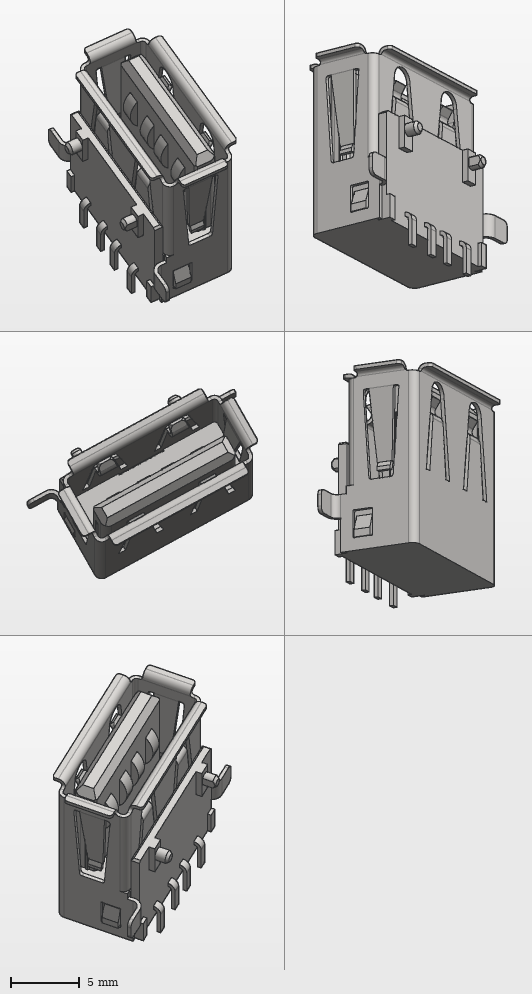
import cadquery as cq
import math


DIAGONAL = math.sqrt(0.5)

SHEET = 0.3
SHELL_WIDTH = 13.08
SHELL_DEPTH = 5.7
SHELL_TOP = 13.1
CORNER_RADIUS = 0.59
HALF_WIDTH = SHELL_WIDTH / 2
HALF_DEPTH = SHELL_DEPTH / 2
INNER_HALF_WIDTH = HALF_WIDTH - SHEET
INNER_HALF_DEPTH = HALF_DEPTH - SHEET
FRONT_WALL_BOTTOM = 4.99
PART_TOP = 13.75

LIP_REACH = 0.78
LIP_TIP_RADIUS = 0.26
LIP_FLARE = 0.28
LONG_LIP_LENGTH = 11.22
SHORT_LIP_LENGTH = 3.83

TAB_TOP = 4.4
TAB_BOTTOM = 2.6
TAB_TIP_X = 8.63
TAB_TIP_RADIUS = 0.45
TAB_BEND_INNER = 0.52
TAB_BEND_OUTER = TAB_BEND_INNER + SHEET
SIDE_WALL_FRONT_Y = -3.3

SPRING_X = 2.99
SLOT_TOP = 13.01
SLOT_RADIUS = 0.98
SLOT_BOTTOM = 5.97
SLOT_BOTTOM_HALF = 1.86
SPRING_BOTTOM_HALF = 1.31
SPRING_TOP_HALF = 0.59
SPRING_TIP_CORNER = 0.41
SPRING_BEND_Z = 10.1
SPRING_TIP_Z = 11.98
RAMP_ANGLE = math.radians(68)
TIP_ANGLE = math.radians(38)
RAMP_RADIUS = 0.55
APEX_RADIUS = 0.41
SPRING_TIP_LENGTH = 0.67

WINDOW_TOP = 12.13
WINDOW_BOTTOM = 5.23
WINDOW_TOP_HALF = 1.47
WINDOW_BOTTOM_HALF = 0.98
WINDOW_RADIUS = 0.2
SIDE_SPRING_TOP_HALF = 1.0
SIDE_SPRING_APEX_HALF = 0.6
SIDE_SPRING_TIP_HALF = 0.54
SIDE_SPRING_APEX_Z = 6.61
SIDE_SPRING_TIP_Z = 5.95
SIDE_SPRING_SHIFT = 0.59
SIDE_SPRING_LIP = 0.17

LATCH_Y = -1.5
LATCH_WIDTH = 1.3
LATCH_BOTTOM = 0.98
LATCH_RAMP_BOTTOM = 1.57
LATCH_TOP = 2.68
LATCH_TIP_X = 6.65
LATCH_HOLE_WIDTH = 1.59
LATCH_HOLE_TOP = 3.09
LATCH_HOLE_RADIUS = 0.1

PLATE_HALF_WIDTH = 6.18
PLATE_BACK_Y = -2.95
PLATE_FRONT_Y = -3.66
PLATE_TOP = 8.47
PLATE_CHAMFER = 0.17
FOOT_WIDTH = 0.64
FOOT_HEIGHT = 1.85
FOOT_FRONT_Y = -3.95

GROOVE_WIDTH = 0.1
GROOVE_HALF_LENGTH = 1.85
GROOVE_DEPTH = 0.35

PIN_X = 4.05
PIN_Z = 7.47
PIN_RADIUS = 0.5
PIN_TIP_Y = -5.16
PIN_TIP_LENGTH = 0.22
PIN_TIP_RADIUS = 0.31
NARROW_PIN_WIDTH = 0.72
PAD_WIDTH = 1.0
PAD_BOTTOM = 5.97
PAD_FRONT_Y = -4.13

TONGUE_HALF_WIDTH = 5.55
TONGUE_FRONT_Y = 0.12
TONGUE_BACK_Y = 1.98
TONGUE_TOP = 13.32
TONGUE_BEVEL_HEIGHT = 0.67
TONGUE_BEVEL = 0.54
TONGUE_FRONT_BEVEL = 0.45
TONGUE_FRONT_CHAMFER = 0.17
TONGUE_BACK_RADIUS = 0.59
RIB_Y = 0.83
RIB_TOP = 10.35
RIB_BASE_WIDTH = 0.35
RIB_CREST_WIDTH = 0.1
RIB_HEIGHT = 0.09
CONTACT_X = (-3.49, -1.0, 1.0, 3.49)
CONTACT_WIDTH = 1.04
CONTACT_TOP = 10.96
CONTACT_APEX_Z = 9.55
CONTACT_APEX_Y = -0.47

LEG_WIDTH = 0.62
LEG_SHEET = 0.31
LEG_TOP = 1.23
LEG_BOTTOM = -1.4
LEG_FRONT_Y = -4.25
LEG_BEND_OUTER = 0.64
LEG_BEND_INNER = LEG_BEND_OUTER - LEG_SHEET


def box(x_min, x_max, y_min, y_max, z_min, z_max):
    size = (x_max - x_min, y_max - y_min, z_max - z_min)
    return cq.Workplane("XY").box(*size, centered=False).translate((x_min, y_min, z_min))


def with_mirror(body, plane):
    return body.union(body.mirror(plane))


def on_circle(center, radius, angle):
    return (center[0] + radius * math.cos(angle), center[1] + radius * math.sin(angle))


def along_y(sketch):
    """Extrude an XZ outline right through the part in Y."""
    return sketch.extrude(SHELL_DEPTH * 2, both=True)


def along_x(outline):
    """Extrude a YZ outline right through the part in X."""
    return outline.extrude(SHELL_WIDTH, both=True)


def lip(wall_offset, length):
    """Lip over the wall at Y = +wall_offset: bends outward, with flared ends and rounded tips."""
    inner_y = wall_offset - SHEET
    bend = 2 * SHEET
    bend_z = PART_TOP - bend
    tip_y = wall_offset + LIP_REACH
    half = length / 2
    center_y = inner_y + bend
    profile = (
        cq.Workplane("YZ")
        .moveTo(inner_y, SHELL_TOP - SHEET)
        .lineTo(inner_y, bend_z)
        .threePointArc((center_y - bend * DIAGONAL, bend_z + bend * DIAGONAL), (center_y, PART_TOP))
        .lineTo(tip_y, PART_TOP)
        .lineTo(tip_y, PART_TOP - SHEET)
        .lineTo(center_y, PART_TOP - SHEET)
        .threePointArc((center_y - SHEET * DIAGONAL, bend_z + SHEET * DIAGONAL), (wall_offset, bend_z))
        .lineTo(wall_offset, SHELL_TOP - SHEET)
        .close()
        .extrude(half + LIP_FLARE, both=True)
    )
    flare_top = SHELL_TOP + LIP_FLARE
    flare_dip = LIP_FLARE * (1 - DIAGONAL)
    outline = along_y(
        cq.Workplane("XZ")
        .moveTo(-half - LIP_FLARE, SHELL_TOP - SHEET)
        .lineTo(half + LIP_FLARE, SHELL_TOP - SHEET)
        .lineTo(half + LIP_FLARE, SHELL_TOP)
        .threePointArc((half + flare_dip, SHELL_TOP + flare_dip), (half, flare_top))
        .lineTo(half, PART_TOP)
        .lineTo(-half, PART_TOP)
        .lineTo(-half, flare_top)
        .threePointArc((-half - flare_dip, SHELL_TOP + flare_dip), (-half - LIP_FLARE, SHELL_TOP))
        .close()
    )
    return profile.intersect(outline).edges("|Z and >Y").fillet(LIP_TIP_RADIUS)


def slot_cutter():
    """Tapered slot with a round top, through both long walls."""
    arc_z = SLOT_TOP - SLOT_RADIUS
    return along_y(
        cq.Workplane("XZ")
        .moveTo(-SLOT_BOTTOM_HALF, SLOT_BOTTOM)
        .lineTo(SLOT_BOTTOM_HALF, SLOT_BOTTOM)
        .lineTo(SLOT_RADIUS, arc_z)
        .threePointArc((0, SLOT_TOP), (-SLOT_RADIUS, arc_z))
        .close()
    )


def long_wall_spring():
    """Spring of the front wall, bent inward to its contact point and back out at the tip."""
    wall_y = -HALF_DEPTH
    ramp_center = (wall_y + RAMP_RADIUS, SPRING_BEND_Z)
    apex_center = on_circle(ramp_center, RAMP_RADIUS + APEX_RADIUS, math.pi - RAMP_ANGLE)

    def ramp_point(offset, angle):
        return on_circle(ramp_center, RAMP_RADIUS - offset, math.pi - angle)

    def apex_point(offset, angle):
        return on_circle(apex_center, APEX_RADIUS + offset, angle)

    def tip_point(offset):
        return on_circle(apex_point(offset, TIP_ANGLE), SPRING_TIP_LENGTH, math.pi / 2 + TIP_ANGLE)

    profile = (
        cq.Workplane("YZ")
        .moveTo(wall_y, SLOT_BOTTOM)
        .lineTo(wall_y, SPRING_BEND_Z)
        .threePointArc(ramp_point(0, RAMP_ANGLE / 2), ramp_point(0, RAMP_ANGLE))
        .threePointArc(apex_point(0, 0), apex_point(0, TIP_ANGLE))
        .lineTo(*tip_point(0))
        .lineTo(*tip_point(SHEET))
        .lineTo(*apex_point(SHEET, TIP_ANGLE))
        .threePointArc(apex_point(SHEET, 0), apex_point(SHEET, -RAMP_ANGLE))
        .threePointArc(ramp_point(SHEET, RAMP_ANGLE / 2), ramp_point(SHEET, 0))
        .lineTo(wall_y + SHEET, SLOT_BOTTOM)
        .close()
        .extrude(SPRING_BOTTOM_HALF, both=True)
    )
    outline = along_y(
        cq.Workplane("XZ")
        .moveTo(-SPRING_BOTTOM_HALF, SLOT_BOTTOM)
        .lineTo(SPRING_BOTTOM_HALF, SLOT_BOTTOM)
        .lineTo(SPRING_TOP_HALF, SPRING_TIP_Z)
        .lineTo(-SPRING_TOP_HALF, SPRING_TIP_Z)
        .close()
    ).edges("|Y and >Z").fillet(SPRING_TIP_CORNER)
    return profile.intersect(outline)


def window_cutter():
    return along_x(
        cq.Workplane("YZ")
        .moveTo(-WINDOW_BOTTOM_HALF, WINDOW_BOTTOM)
        .lineTo(WINDOW_BOTTOM_HALF, WINDOW_BOTTOM)
        .lineTo(WINDOW_TOP_HALF, WINDOW_TOP)
        .lineTo(-WINDOW_TOP_HALF, WINDOW_TOP)
        .close()
    ).edges("|X").fillet(WINDOW_RADIUS)


def side_spring():
    """Spring of the +X wall, hanging from the window's top edge and leaning inward."""
    lean = INNER_HALF_WIDTH - SIDE_SPRING_SHIFT
    profile = (
        cq.Workplane("XZ")
        .moveTo(INNER_HALF_WIDTH, WINDOW_TOP)
        .lineTo(HALF_WIDTH, WINDOW_TOP)
        .lineTo(lean + SHEET, SIDE_SPRING_APEX_Z)
        .lineTo(lean + SHEET + SIDE_SPRING_LIP, SIDE_SPRING_TIP_Z + SHEET)
        .lineTo(lean + SHEET + SIDE_SPRING_LIP, SIDE_SPRING_TIP_Z)
        .lineTo(lean + SIDE_SPRING_LIP, SIDE_SPRING_TIP_Z)
        .lineTo(lean, SIDE_SPRING_APEX_Z)
        .close()
        .extrude(SIDE_SPRING_TOP_HALF, both=True)
    )
    outline = along_x(
        cq.Workplane("YZ")
        .moveTo(-SIDE_SPRING_TOP_HALF, WINDOW_TOP)
        .lineTo(-SIDE_SPRING_APEX_HALF, SIDE_SPRING_APEX_Z)
        .lineTo(-SIDE_SPRING_TIP_HALF, SIDE_SPRING_APEX_Z)
        .lineTo(-SIDE_SPRING_TIP_HALF, SIDE_SPRING_TIP_Z)
        .lineTo(SIDE_SPRING_TIP_HALF, SIDE_SPRING_TIP_Z)
        .lineTo(SIDE_SPRING_TIP_HALF, SIDE_SPRING_APEX_Z)
        .lineTo(SIDE_SPRING_APEX_HALF, SIDE_SPRING_APEX_Z)
        .lineTo(SIDE_SPRING_TOP_HALF, WINDOW_TOP)
        .close()
    )
    return profile.intersect(outline)


def solder_tab():
    """Tab of the +X side wall, bent outward to lie parallel to the board."""
    bend_x = HALF_WIDTH + TAB_BEND_INNER
    back_y = SIDE_WALL_FRONT_Y - TAB_BEND_INNER
    front_y = SIDE_WALL_FRONT_Y - TAB_BEND_OUTER
    inner_mid = TAB_BEND_INNER * DIAGONAL
    outer_mid = TAB_BEND_OUTER * DIAGONAL
    return (
        cq.Workplane("XY", origin=(0, 0, TAB_BOTTOM))
        .moveTo(HALF_WIDTH, SIDE_WALL_FRONT_Y)
        .threePointArc((bend_x - inner_mid, SIDE_WALL_FRONT_Y - inner_mid), (bend_x, back_y))
        .lineTo(TAB_TIP_X, back_y)
        .lineTo(TAB_TIP_X, front_y)
        .lineTo(bend_x, front_y)
        .threePointArc((bend_x - outer_mid, SIDE_WALL_FRONT_Y - outer_mid),
                       (INNER_HALF_WIDTH, SIDE_WALL_FRONT_Y))
        .close()
        .extrude(TAB_TOP - TAB_BOTTOM)
        .edges("|Y and >X").fillet(TAB_TIP_RADIUS)
    )


def latch_hole_cutter():
    half = LATCH_HOLE_WIDTH / 2
    hole = box(-SHELL_WIDTH, SHELL_WIDTH, LATCH_Y - half, LATCH_Y + half, LATCH_BOTTOM, LATCH_HOLE_TOP)
    return hole.edges("|X").fillet(LATCH_HOLE_RADIUS)


def shell():
    tube = (
        cq.Workplane("XY").rect(SHELL_WIDTH, SHELL_DEPTH).extrude(SHELL_TOP)
        .edges("|Z").fillet(CORNER_RADIUS)
    )
    bore = (
        cq.Workplane("XY").rect(2 * INNER_HALF_WIDTH, 2 * INNER_HALF_DEPTH).extrude(SHELL_TOP)
        .edges("|Z").fillet(CORNER_RADIUS - SHEET)
    )
    corner_y = CORNER_RADIUS - HALF_DEPTH
    front_opening = box(-HALF_WIDTH, HALF_WIDTH, -HALF_DEPTH, corner_y, 0, FRONT_WALL_BOTTOM)
    body = tube.cut(bore).cut(front_opening)

    upper_wing = box(INNER_HALF_WIDTH, HALF_WIDTH, -HALF_DEPTH, corner_y, TAB_TOP, FRONT_WALL_BOTTOM)
    lower_wing = box(INNER_HALF_WIDTH, HALF_WIDTH, SIDE_WALL_FRONT_Y, corner_y, 0, TAB_TOP)
    body = body.union(with_mirror(upper_wing.union(lower_wing).union(solder_tab()), "YZ"))

    long_lip = lip(HALF_DEPTH, LONG_LIP_LENGTH)
    short_lip = lip(HALF_WIDTH, SHORT_LIP_LENGTH).rotate((0, 0, 0), (0, 0, 1), 90)
    body = body.union(with_mirror(long_lip, "XZ")).union(with_mirror(short_lip, "YZ"))

    for x in (-SPRING_X, SPRING_X):
        body = body.cut(slot_cutter().translate((x, 0, 0)))
        body = body.union(with_mirror(long_wall_spring().translate((x, 0, 0)), "XZ"))

    body = body.cut(window_cutter()).cut(latch_hole_cutter())
    return body.union(with_mirror(side_spring(), "YZ"))


def latch():
    """Ramped catch on the +X side of the insulator."""
    return (
        cq.Workplane("XZ", origin=(0, LATCH_Y, 0))
        .moveTo(INNER_HALF_WIDTH - SHEET, LATCH_BOTTOM)
        .lineTo(LATCH_TIP_X, LATCH_BOTTOM)
        .lineTo(LATCH_TIP_X, LATCH_RAMP_BOTTOM)
        .lineTo(INNER_HALF_WIDTH, LATCH_TOP)
        .lineTo(INNER_HALF_WIDTH - SHEET, LATCH_TOP)
        .close()
        .extrude(LATCH_WIDTH / 2, both=True)
    )


def tongue_rib():
    """Low trapezoidal rib up the +X end of the tongue."""
    return (
        cq.Workplane("XY", origin=(0, RIB_Y, FRONT_WALL_BOTTOM))
        .moveTo(TONGUE_HALF_WIDTH - SHEET, -RIB_BASE_WIDTH / 2)
        .lineTo(TONGUE_HALF_WIDTH, -RIB_BASE_WIDTH / 2)
        .lineTo(TONGUE_HALF_WIDTH + RIB_HEIGHT, -RIB_CREST_WIDTH / 2)
        .lineTo(TONGUE_HALF_WIDTH + RIB_HEIGHT, RIB_CREST_WIDTH / 2)
        .lineTo(TONGUE_HALF_WIDTH, RIB_BASE_WIDTH / 2)
        .lineTo(TONGUE_HALF_WIDTH - SHEET, RIB_BASE_WIDTH / 2)
        .close()
        .extrude(RIB_TOP - FRONT_WALL_BOTTOM)
    )


def tongue():
    bevel_z = TONGUE_TOP - TONGUE_BEVEL_HEIGHT
    blank = box(-TONGUE_HALF_WIDTH, TONGUE_HALF_WIDTH, TONGUE_FRONT_Y, TONGUE_BACK_Y,
                FRONT_WALL_BOTTOM, TONGUE_TOP)
    rounded = (
        blank.edges("|Z and >Y").fillet(TONGUE_BACK_RADIUS)
        .edges("|Z and <Y").chamfer(TONGUE_FRONT_CHAMFER)
    )
    end_envelope = (
        cq.Workplane("XZ")
        .moveTo(-TONGUE_HALF_WIDTH, FRONT_WALL_BOTTOM)
        .lineTo(TONGUE_HALF_WIDTH, FRONT_WALL_BOTTOM)
        .lineTo(TONGUE_HALF_WIDTH, bevel_z)
        .lineTo(TONGUE_HALF_WIDTH - TONGUE_BEVEL, TONGUE_TOP)
        .lineTo(TONGUE_BEVEL - TONGUE_HALF_WIDTH, TONGUE_TOP)
        .lineTo(-TONGUE_HALF_WIDTH, bevel_z)
        .close()
    )
    side_envelope = (
        cq.Workplane("YZ")
        .moveTo(TONGUE_FRONT_Y, FRONT_WALL_BOTTOM)
        .lineTo(TONGUE_BACK_Y, FRONT_WALL_BOTTOM)
        .lineTo(TONGUE_BACK_Y, bevel_z)
        .lineTo(TONGUE_BACK_Y - TONGUE_BEVEL, TONGUE_TOP)
        .lineTo(TONGUE_FRONT_Y + TONGUE_FRONT_BEVEL, TONGUE_TOP)
        .lineTo(TONGUE_FRONT_Y, bevel_z)
        .close()
    )
    body = rounded.intersect(along_y(end_envelope)).intersect(along_x(side_envelope))
    return body.union(with_mirror(tongue_rib(), "YZ"))


def pin(x):
    axis = cq.Workplane("XZ", origin=(x, PAD_FRONT_Y, PIN_Z))
    shank = axis.circle(PIN_RADIUS).extrude(PAD_FRONT_Y - PIN_TIP_Y)
    tip_drop = PIN_RADIUS - PIN_TIP_RADIUS
    return shank.faces("<Y").chamfer(PIN_TIP_LENGTH, tip_drop)


def insulator():
    body = box(-INNER_HALF_WIDTH, INNER_HALF_WIDTH, PLATE_BACK_Y, INNER_HALF_DEPTH, 0, FRONT_WALL_BOTTOM)
    body = body.edges("|Z and >Y").fillet(CORNER_RADIUS - SHEET)
    groove_back = GROOVE_WIDTH - INNER_HALF_DEPTH
    groove = box(-GROOVE_HALF_LENGTH, GROOVE_HALF_LENGTH, -INNER_HALF_DEPTH, groove_back,
                 FRONT_WALL_BOTTOM - GROOVE_DEPTH, FRONT_WALL_BOTTOM)
    body = body.cut(groove)
    plate = box(-PLATE_HALF_WIDTH, PLATE_HALF_WIDTH, PLATE_FRONT_Y, PLATE_BACK_Y, 0, PLATE_TOP)
    plate = plate.edges("(|Y and >Z) or (|X and >Y and >Z)").chamfer(PLATE_CHAMFER)
    foot = box(PLATE_HALF_WIDTH - FOOT_WIDTH, PLATE_HALF_WIDTH, FOOT_FRONT_Y, PLATE_FRONT_Y, 0, FOOT_HEIGHT)
    body = body.union(plate).union(with_mirror(foot, "YZ")).union(with_mirror(latch(), "YZ"))
    for x in (-PIN_X, PIN_X):
        half = PAD_WIDTH / 2
        body = body.union(box(x - half, x + half, PAD_FRONT_Y, PLATE_FRONT_Y, PAD_BOTTOM, PLATE_TOP))
    narrow_half = NARROW_PIN_WIDTH / 2
    narrowing = box(PIN_X - narrow_half, PIN_X + narrow_half, PIN_TIP_Y, PAD_FRONT_Y, PAD_BOTTOM, PLATE_TOP)
    return body.union(pin(-PIN_X)).union(pin(PIN_X).intersect(narrowing)).union(tongue())


def contact(x):
    """Bowed contact face standing out of the tongue's front."""
    contact_bottom = 2 * CONTACT_APEX_Z - CONTACT_TOP
    return (
        cq.Workplane("YZ", origin=(x, 0, 0))
        .moveTo(TONGUE_FRONT_Y + LEG_SHEET, contact_bottom)
        .lineTo(TONGUE_FRONT_Y, contact_bottom)
        .threePointArc((CONTACT_APEX_Y, CONTACT_APEX_Z), (TONGUE_FRONT_Y, CONTACT_TOP))
        .lineTo(TONGUE_FRONT_Y + LEG_SHEET, CONTACT_TOP)
        .close()
        .extrude(CONTACT_WIDTH / 2, both=True)
    )


def solder_leg(x):
    """Leg leaving the plate horizontally and bending down past its lower edge."""
    bend_y = LEG_FRONT_Y + LEG_BEND_OUTER
    bend_z = LEG_TOP - LEG_BEND_OUTER
    back_y = LEG_FRONT_Y + LEG_SHEET
    outer_mid = LEG_BEND_OUTER * DIAGONAL
    inner_mid = LEG_BEND_INNER * DIAGONAL
    return (
        cq.Workplane("YZ", origin=(x, 0, 0))
        .moveTo(PLATE_BACK_Y, LEG_TOP)
        .lineTo(bend_y, LEG_TOP)
        .threePointArc((bend_y - outer_mid, bend_z + outer_mid), (LEG_FRONT_Y, bend_z))
        .lineTo(LEG_FRONT_Y, LEG_BOTTOM)
        .lineTo(back_y, LEG_BOTTOM)
        .lineTo(back_y, bend_z)
        .threePointArc((bend_y - inner_mid, bend_z + inner_mid), (bend_y, LEG_TOP - LEG_SHEET))
        .lineTo(PLATE_BACK_Y, LEG_TOP - LEG_SHEET)
        .close()
        .extrude(LEG_WIDTH / 2, both=True)
    )


result = shell().union(insulator())
for contact_x in CONTACT_X:
    result = result.union(contact(contact_x)).union(solder_leg(contact_x))